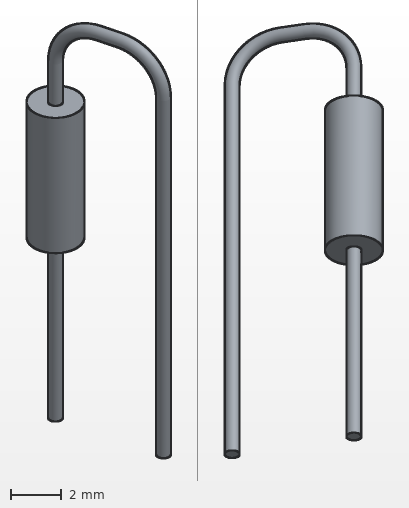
import cadquery as cq

total_height = 19.3
lead_diameter = 0.6
lead_pitch = 5.0
bend_radius = 2.0
body_diameter = 2.3
body_length = 6.45
body_bottom = 8.59

top_centre_z = total_height - lead_diameter / 2
bend_start_z = top_centre_z - bend_radius


def make_lead():
    """One round wire: up through the body, over two quarter bends, and back down."""
    centreline = (
        cq.Workplane("XZ")
        .moveTo(0, 0)
        .lineTo(0, bend_start_z)
        .radiusArc((bend_radius, top_centre_z), bend_radius)
        .lineTo(lead_pitch - bend_radius, top_centre_z)
        .radiusArc((lead_pitch, bend_start_z), bend_radius)
        .lineTo(lead_pitch, 0)
    )
    return cq.Workplane("XY").circle(lead_diameter / 2).sweep(centreline)


def make_body():
    """Plain cylinder around the first leg of the lead."""
    return (
        cq.Workplane("XY")
        .workplane(offset=body_bottom)
        .circle(body_diameter / 2)
        .extrude(body_length)
    )


result = make_body().union(make_lead())